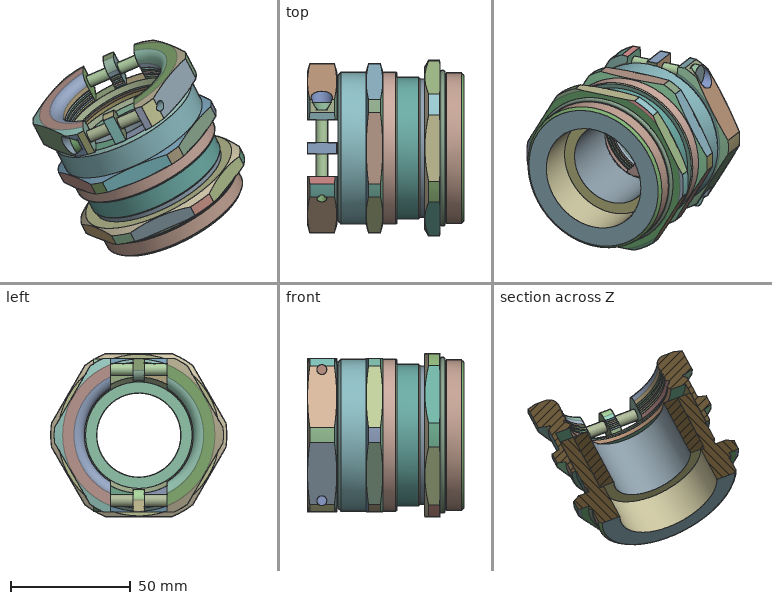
import cadquery as cq
import math


clamp_hex_end = 12.3
clamp_end = 12.7
rim_end = 15.35
body_start = 21.4
cap_nut_start = 24.45
cap_nut_end = 31.45
cap_end = 37.3
relief_start = 46.9
flange_start = 48.8
flange_end = 55.3
thread_start = 58.0
total_length = 65.3

cap_radius = 63.5 / 2
cap_hex_flats = 64.0
cap_hex_corners = 70.5
hex_bevel_slope = math.tan(math.radians(16))
entry_diameter = 44.4
entry_radius = entry_diameter / 2
jaw_bore_radius = 22.7
jaw_bevel = 1.1
mouth_round = 4.3
groove_count = 3
groove_pitch = 1.75
groove_depth = 0.5
first_groove = 6.75
rim_flare_length = 1.5
rim_flare_depth = 0.8
rim_mouth_radius = 24.2
neck_radius = 30.4
cap_end_chamfer = 0.65
jaw_gap = 23.5
lug_width = 4.7

screw_x = 6.0
screw_z = 27.3
shank_diameter = 5.0
head_diameter = 8.9
head_seat = 15.95
head_height = 3.0
tapped_hole_diameter = 4.1

body_thread_diameter = 59.3
body_thread_radius = body_thread_diameter / 2
body_thread_chamfer = 0.65
relief_diameter = 57.8
flange_flats = 68.0
flange_corners = 73.45
flange_bevel_angle = 30
flange_bevel = 1.75
flange_back_bevel = 0.4
bead_section_radius = 1.0
bead_centre_radius = 31.5
connection_diameter = 62.95
connection_radius = connection_diameter / 2
thread_start_chamfer = 0.3
connection_chamfer = 1.2

seal_diameter = 47.4
seal_bore_diameter = 35.0
seal_end = flange_start


def revolved(points):
    """Solid of revolution about X from an outline of (x, radius) points."""
    return cq.Workplane("XY").polyline(points).close().revolve(360, (0, 0, 0), (1, 0, 0))


def disc(diameter, x_start, x_end):
    """Cylinder about X."""
    return cq.Workplane("YZ", (x_start, 0, 0)).circle(diameter / 2).extrude(x_end - x_start)


def rod(diameter, y_start, y_end, z):
    """Cylinder parallel to Y on a screw axis."""
    axis_plane = cq.Plane((screw_x, y_start, z), (1, 0, 0), (0, 1, 0))
    return cq.Workplane(axis_plane).circle(diameter / 2).extrude(y_end - y_start)


def hexagon(flats, x_start, x_end):
    """Hexagonal prism about X with two corners on the Y axis."""
    corner_diameter = flats / math.cos(math.pi / 6)
    return cq.Workplane("YZ", (x_start, 0, 0)).polygon(6, corner_diameter).extrude(x_end - x_start)


def bevelled_nut(flats, corners, x_start, x_end, front_bevel, back_bevel, front_slope, back_slope):
    """Hexagon with turned-down corners and a conical bevel on each end."""
    corner_radius = corners / 2
    front_radius = corner_radius - front_bevel / front_slope
    back_radius = corner_radius - back_bevel / back_slope
    envelope = revolved([
        (x_start, 0),
        (x_start, front_radius),
        (x_start + front_bevel, corner_radius),
        (x_end - back_bevel, corner_radius),
        (x_end, back_radius),
        (x_end, 0),
    ])
    return hexagon(flats, x_start, x_end).intersect(envelope)


def cap_hex(x_start, x_end):
    """Cap hexagon, bevelled on both ends down to the cap radius."""
    bevel = (cap_hex_corners / 2 - cap_radius) * hex_bevel_slope
    return bevelled_nut(
        cap_hex_flats, cap_hex_corners, x_start, x_end,
        bevel, bevel, hex_bevel_slope, hex_bevel_slope,
    )


def cap_outside():
    shoulder = clamp_end + cap_radius - neck_radius
    barrel = revolved([
        (clamp_hex_end, 0),
        (clamp_hex_end, neck_radius),
        (clamp_end, neck_radius),
        (shoulder, cap_radius),
        (cap_end - cap_end_chamfer, cap_radius),
        (cap_end, cap_radius - cap_end_chamfer / 2),
        (cap_end, 0),
    ])
    clamp_hex = cap_hex(0, clamp_hex_end)
    nut_hex = cap_hex(cap_nut_start, cap_nut_end)
    return clamp_hex.union(barrel).union(nut_hex)


def cap_bore():
    """Rounded mouth, jaw bore, entry rim and the threaded bore for the body."""
    arc_offset = mouth_round * math.sqrt(0.5)
    mouth_radius = jaw_bore_radius + mouth_round
    rim_bevel_end = clamp_end + rim_mouth_radius - entry_radius
    profile = (
        cq.Workplane("XY")
        .moveTo(0, 0)
        .lineTo(0, mouth_radius)
        .threePointArc((mouth_round - arc_offset, mouth_radius - arc_offset), (mouth_round, jaw_bore_radius))
        .lineTo(clamp_end - jaw_bevel, jaw_bore_radius)
        .lineTo(clamp_end, rim_mouth_radius)
        .lineTo(rim_bevel_end, entry_radius)
        .lineTo(rim_end, entry_radius)
        .lineTo(rim_end + rim_flare_length, entry_radius + rim_flare_depth)
        .lineTo(rim_end + rim_flare_length, body_thread_radius)
        .lineTo(cap_end, body_thread_radius)
        .lineTo(cap_end, 0)
        .close()
    )
    return profile.revolve(360, (0, 0, 0), (1, 0, 0))


def grip_groove(x):
    """V-shaped ring with 45-degree sides, cut into the jaw bore."""
    return revolved([
        (x - groove_depth, 0),
        (x - groove_depth, jaw_bore_radius),
        (x, jaw_bore_radius + groove_depth),
        (x + groove_depth, jaw_bore_radius),
        (x + groove_depth, 0),
    ])


def jaw_openings():
    """Openings above and below the bore, each leaving a screw lug in its middle."""
    gap_width = (jaw_gap - lug_width) / 2
    gap_offset = (jaw_gap + lug_width) / 4
    gap = cq.Workplane("XY").box(clamp_end, gap_width, cap_hex_corners, centered=(False, True, True))
    return [gap.translate((0, side * gap_offset, 0)) for side in (-1, 1)]


def make_cap():
    cap = cap_outside().cut(cap_bore())
    for index in range(groove_count):
        cap = cap.cut(grip_groove(first_groove + index * groove_pitch))
    for gap in jaw_openings():
        cap = cap.cut(gap)
    for side in (-1, 1):
        z = side * screw_z
        cap = cap.cut(rod(head_diameter, head_seat, cap_hex_corners / 2, z))
        cap = cap.cut(rod(shank_diameter, -head_seat, head_seat, z))
        cap = cap.cut(rod(tapped_hole_diameter, -cap_hex_corners / 2, -head_seat, z))
    return cap


def make_screw(z):
    shank = rod(shank_diameter, -head_seat, head_seat, z)
    head = rod(head_diameter, head_seat, head_seat + head_height, z)
    return shank.union(head)


def flange():
    flange_slope = math.tan(math.radians(flange_bevel_angle))
    return bevelled_nut(
        flange_flats, flange_corners, flange_start, flange_end,
        flange_bevel, flange_back_bevel, flange_slope, hex_bevel_slope,
    )


def sealing_bead():
    """Round sealing bead against the flange."""
    bead_x = flange_end + bead_section_radius
    section = cq.Workplane("XY").center(bead_x, bead_centre_radius).circle(bead_section_radius)
    return section.revolve(360, (-bead_x, -bead_centre_radius, 0), (0.7 - bead_x, -bead_centre_radius, 0))


def make_body():
    cap_thread = disc(body_thread_diameter, body_start, relief_start)
    cap_thread = cap_thread.faces(">X").chamfer(body_thread_chamfer)
    relief = disc(relief_diameter, relief_start, flange_start)
    connection = revolved([
        (flange_end, 0),
        (flange_end, connection_radius - thread_start_chamfer),
        (thread_start - thread_start_chamfer, connection_radius - thread_start_chamfer),
        (thread_start, connection_radius),
        (total_length - connection_chamfer, connection_radius),
        (total_length, connection_radius - connection_chamfer),
        (total_length, 0),
    ])
    body = cap_thread.union(relief).union(flange()).union(connection).union(sealing_bead())
    body = body.cut(disc(entry_diameter, body_start, total_length))
    return body.cut(disc(seal_diameter, body_start, seal_end))


def make_seal():
    ring = disc(seal_diameter, body_start, seal_end)
    return ring.cut(disc(seal_bore_diameter, body_start, seal_end))


cap = make_cap()
body = make_body()
seal = make_seal()
screws = [make_screw(side * screw_z) for side in (-1, 1)]

result = cq.Compound.makeCompound([
    cap.val(),
    body.val(),
    seal.val(),
    *[screw.val() for screw in screws],
])